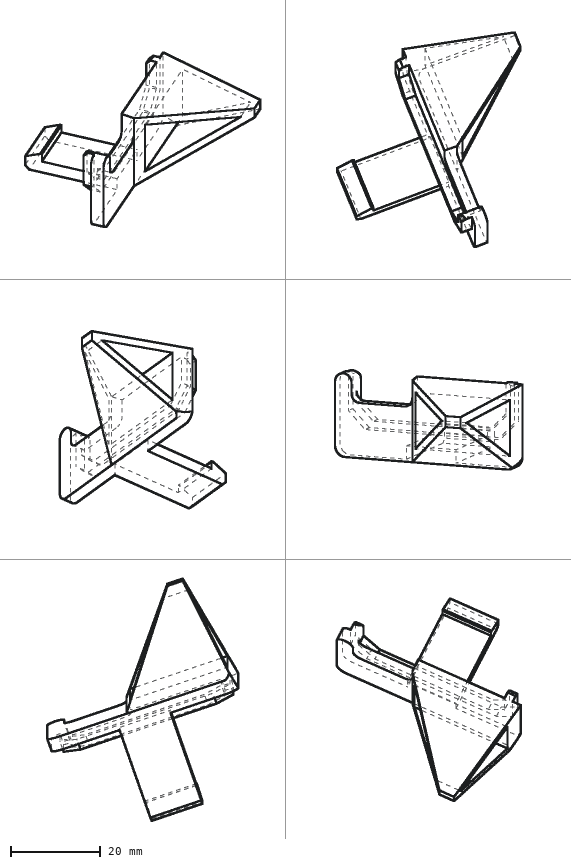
import cadquery as cq
import math


plate_thickness = 3.0
plate_width = 44.0
plate_height = 18.95
bottom_corner_radius = 2.5
half_width = plate_width / 2

quarter_arc_inset = 1 - math.cos(math.radians(45))

post_width = 4.0
post_radius = post_width / 2
notch_floor = 12.5
notch_radius = 2.0
notch_post_side = -half_width + post_width
notch_brace_side = -3.35

brace_reach = 25.0
brace_wall = 2.0
tip_bottom = 13.0
tip_top = 15.5
tip_near_y = 13.9
tip_far_y = 17.5
brace_top_angle = math.atan2(plate_height - tip_top, brace_reach)
brace_bottom_angle = math.atan2(tip_bottom, brace_reach - plate_thickness)

rim_depth = 2.5
rim_width = 2.0
rim_inset = 2.0
rim_bottom = 6.0
rim_corner_cut = 4.0
rim_end_chamfer = 1.0

arm_length = 22.0
arm_width = 12.0
arm_thickness = 3.0
hook_height = 5.0
hook_length = 4.0
hook_crest = 0.4
hook_nose_height = 3.4
hook_bottom_chamfer = 1.0


def make_outline(depth):
    """Notched outline of the plate, extruded from X = 0 towards +X."""
    post_shoulder = plate_height - post_radius
    notch_fillet_top = notch_floor + notch_radius
    arc_inset = bottom_corner_radius * quarter_arc_inset
    notch_arc_inset = notch_radius * quarter_arc_inset
    return (
        cq.Workplane("YZ")
        .moveTo(-half_width + bottom_corner_radius, 0)
        .lineTo(half_width - bottom_corner_radius, 0)
        .threePointArc((half_width - arc_inset, arc_inset), (half_width, bottom_corner_radius))
        .lineTo(half_width, plate_height)
        .lineTo(notch_brace_side, plate_height)
        .lineTo(notch_brace_side, notch_fillet_top)
        .threePointArc(
            (notch_brace_side - notch_arc_inset, notch_floor + notch_arc_inset),
            (notch_brace_side - notch_radius, notch_floor),
        )
        .lineTo(notch_post_side + notch_radius, notch_floor)
        .threePointArc(
            (notch_post_side + notch_arc_inset, notch_floor + notch_arc_inset),
            (notch_post_side, notch_fillet_top),
        )
        .lineTo(notch_post_side, post_shoulder)
        .threePointArc((notch_post_side - post_radius, plate_height), (-half_width, post_shoulder))
        .lineTo(-half_width, bottom_corner_radius)
        .threePointArc((-half_width + arc_inset, arc_inset), (-half_width + bottom_corner_radius, 0))
        .close()
        .extrude(depth)
    )


def extrude_along_y(points, y_from, y_to):
    """Prism with an XZ outline, running between two Y positions."""
    return cq.Workplane("XZ", origin=(0, y_to, 0)).polyline(points).close().extrude(y_to - y_from)


def make_plain_plate():
    """Part of the plate on the notch side of the brace."""
    section = [(0, 0), (plate_thickness, 0), (plate_thickness, plate_height), (0, plate_height)]
    notch_zone = extrude_along_y(section, -half_width, notch_brace_side)
    return make_outline(plate_thickness).intersect(notch_zone)


def make_brace():
    """Plate and brace in one block, tapered from above and from the side, with a triangular opening."""
    side_profile = [
        (0, 0),
        (plate_thickness, 0),
        (brace_reach, tip_bottom),
        (brace_reach, tip_top),
        (0, plate_height),
    ]
    plan_profile = [
        (0, notch_brace_side),
        (plate_thickness, notch_brace_side),
        (brace_reach, tip_near_y),
        (brace_reach, tip_far_y),
        (0, half_width),
    ]
    side_block = extrude_along_y(side_profile, notch_brace_side, half_width)
    plan_block = cq.Workplane("XY").polyline(plan_profile).close().extrude(plate_height)
    return make_outline(brace_reach).intersect(side_block).intersect(plan_block).cut(make_opening())


def make_opening():
    """Triangular opening that leaves an even wall on its three sides."""
    top_slope = -math.tan(brace_top_angle)
    bottom_slope = math.tan(brace_bottom_angle)
    top_at_zero = plate_height - brace_wall / math.cos(brace_top_angle)
    bottom_at_zero = brace_wall / math.cos(brace_bottom_angle) - bottom_slope * plate_thickness
    x_start = plate_thickness + brace_wall
    x_apex = (top_at_zero - bottom_at_zero) / (bottom_slope - top_slope)
    triangle = [
        (x_start, bottom_at_zero + bottom_slope * x_start),
        (x_apex, bottom_at_zero + bottom_slope * x_apex),
        (x_start, top_at_zero + top_slope * x_start),
    ]
    return extrude_along_y(triangle, -half_width, half_width)


def rim_region(half_span, bottom):
    """U-shaped area with 45 degree lower corners, extruded over the rim depth."""
    return (
        cq.Workplane("YZ")
        .polyline([
            (-half_span, plate_height),
            (-half_span, bottom + rim_corner_cut),
            (-half_span + rim_corner_cut, bottom),
            (half_span - rim_corner_cut, bottom),
            (half_span, bottom + rim_corner_cut),
            (half_span, plate_height),
        ])
        .close()
        .extrude(-rim_depth)
    )


def make_rim():
    """Rim along the bottom and ends of the plate; its -Y end follows the round post top."""
    outer_half = half_width - rim_inset
    rim = rim_region(outer_half, rim_bottom)
    rim = rim.cut(rim_region(outer_half - rim_width, rim_bottom + rim_width))
    rim = rim.faces(">Z").edges("<X").chamfer(rim_end_chamfer)
    return rim.intersect(make_outline(-rim_depth))


def make_arm():
    """Clip arm with a ramped hook that stands up at its free end."""
    tip = -arm_length
    crest_start = tip + hook_length - hook_crest
    profile = [
        (0, 0),
        (tip + hook_bottom_chamfer, 0),
        (tip, hook_bottom_chamfer),
        (tip, hook_nose_height),
        (crest_start, hook_height),
        (tip + hook_length, hook_height),
        (tip + hook_length, arm_thickness),
        (0, arm_thickness),
    ]
    return extrude_along_y(profile, -arm_width / 2, arm_width / 2)


result = make_plain_plate().union(make_brace()).union(make_rim()).union(make_arm())